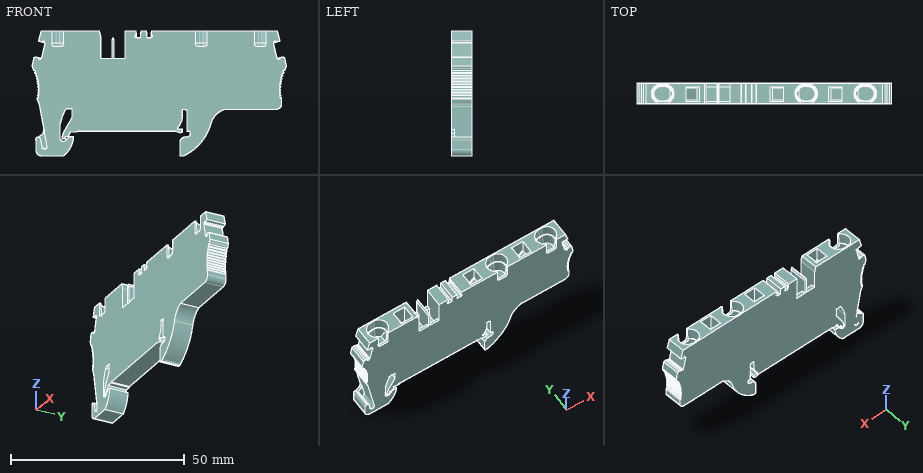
import cadquery as cq
import math

LENGTH = 73.25
WIDTH = 6.0
HEIGHT = 36.0

LIP_TOP_INSET = 2.65
LIP_BOTTOM = (1.8, 33.1)
NOTCH_TOP = (3.7, 32.5)
NOTCH_BOTTOM = (2.7, 28.1)
BUMP_INNER = (1.8, 28.35)
BUMP_CREST = (1.25, 28.6)
BUMP_OUTER = (0.5, 28.35)
TIP_Z = 25.9

GRIP_RADIUS = 13.9
GRIP_INSET = 1.7
GRIP_MID_Z = 19.05
GRIP_TOP_Z = 25.2
GRIP_BOTTOM_Z = 16.4
GROOVE_COUNT = 10
GROOVE_PITCH = 0.8
GROOVE_RADIUS = 0.3
GROOVE_TOP_Z = 24.3

RAIL_SEAT_Z = 7.1
SHELF_Z = 13.3

WIRE_ENTRY_X = (7.4, 48.7, 65.7)
WIRE_ENTRY_Y = 2.9
WIRE_ENTRY_RADIUS = 2.8
WIRE_ENTRY_FLAT = 0.95
WIRE_ENTRY_TAPER = 4.5
WIRE_STEP_DEPTH = 3.45
WIRE_STEP = 0.15
WIRE_ENTRY_DEPTH = 7.3
WIRE_FLAT_WALL = 2.1
OPENING_WIDTH = 3.4
OPENING_DEPTH = 4.5
OPENING_CORNER = 0.7

RELEASE_LENGTH = 3.9
RELEASE_FRONT_Y = 0.65
RELEASE_BACK_Y = 4.8
RELEASE_FLOOR = 0.7
RELEASE_SLOPE_START = 4.4
RELEASE_SLOPE_ANGLE = 42.0
CHANNEL_FRONT_Y = 1.1
CHANNEL_BACK_Y = 4.6
CHANNEL_DEPTH = 0.3
LEFT_RELEASE_X = 14.1
RIGHT_RELEASE_X = (38.2, 55.15)

SLOT_LEFT = 19.85
SLOT_RIGHT = 26.7
SLOT_FLOOR_Z = 28.1
SLOT_LEAD_IN = 0.45
SLOT_LEAD_IN_Z = 34.2
BLADE_LEFT = 23.0
BLADE_RIGHT = 23.65
BLADE_SHOULDER_Z = 33.3
BLADE_TIP_Z = 34.1
SLOT_POCKET_FRONT_Y = 0.7
SLOT_POCKET_BACK_Y = 4.8
SLOT_POCKET_DEPTH = 3.65

MARKER_MID_X = 32.15
MARKER_FLOOR_Z = 34.05
MARKER_BEND_Z = 35.0
MARKER_INNER_TOP = 0.8
MARKER_INNER_BOTTOM = 0.95
MARKER_OUTER_TOP = 2.2
MARKER_OUTER_BOTTOM = 2.05

SKIN = 0.4
MARKER_UNDERCUT_RADIUS = 0.45
END_UNDERCUT_RADIUS = 0.3
END_UNDERCUTS = ((3.3, 32.8), (2.2, 28.05))

WEB_THICKNESS = 0.9


def profile_plane():
    return cq.Workplane("XZ")


def prism(points, y_front, y_back):
    """Polygon in XZ, solid between two Y positions."""
    return profile_plane().workplane(offset=-y_front).polyline(points).close().extrude(y_front - y_back)


def rods(centres, radius, y_front, y_back):
    """Round bars along Y."""
    sketch = profile_plane().workplane(offset=-y_front).pushPoints(centres)
    return sketch.circle(radius).extrude(y_front - y_back)


def from_right(point):
    """Turn an (inset, height) point into its place on the right end."""
    return (LENGTH - point[0], point[1])


def grip_point(z):
    """Point (inset, height) on the concave grip arc."""
    rise = z - GRIP_MID_Z
    return (GRIP_INSET - GRIP_RADIUS + math.sqrt(GRIP_RADIUS**2 - rise**2), z)


END_UPPER = [
    (LIP_TOP_INSET, HEIGHT), LIP_BOTTOM, NOTCH_TOP, NOTCH_BOTTOM,
    BUMP_INNER, BUMP_CREST, BUMP_OUTER, (0, TIP_Z), grip_point(GRIP_TOP_Z),
]


def draw_right_end(wire):
    for point in END_UPPER:
        wire = wire.lineTo(*from_right(point))
    wire = wire.threePointArc(from_right(grip_point(GRIP_MID_Z)), from_right(grip_point(GRIP_BOTTOM_Z)))
    wire = wire.lineTo(71.85, 15.1)
    return wire.threePointArc((71.3, 13.85), (70.1, SHELF_Z))


def draw_right_foot(wire):
    wire = wire.lineTo(55.3, SHELF_Z)
    wire = wire.threePointArc((53.0, 11.95), (51.55, 9.4))
    wire = wire.threePointArc((48.9, 4.2), (44.1, 0.2))
    wire = wire.lineTo(43.6, 0).lineTo(42.9, 0)
    wire = wire.threePointArc((42.6, 0.11), (42.55, 0.4))
    wire = wire.lineTo(42.55, 4.25)
    wire = wire.threePointArc((43.15, 5.1), (44.4, 5.6))
    wire = wire.threePointArc((45.4, 6.0), (45.25, RAIL_SEAT_Z))
    wire = wire.lineTo(44.6, RAIL_SEAT_Z).lineTo(44.6, 12.9)
    wire = wire.threePointArc((44.45, 13.2), (44.1, SHELF_Z))
    wire = wire.lineTo(43.3, SHELF_Z).lineTo(43.3, 11.9)
    wire = wire.threePointArc((43.0, 9.8), (42.0, 8.1))
    wire = wire.lineTo(42.0, 7.8).lineTo(43.3, 7.8).lineTo(43.3, 6.9)
    return wire.lineTo(42.7, 6.7).lineTo(41.2, RAIL_SEAT_Z)


def draw_left_slit(wire):
    """Rail seat, then round the spring slit behind the left foot."""
    wire = wire.lineTo(13.0, RAIL_SEAT_Z).lineTo(12.9, 6.9).lineTo(11.0, 6.9)
    wire = wire.threePointArc((10.8, 6.2), (10.2, 5.6))
    wire = wire.lineTo(9.6, 5.6).lineTo(9.6, 4.9).lineTo(8.65, 4.9)
    wire = wire.threePointArc((8.8, 6.1), (9.2, 7.2))
    wire = wire.lineTo(11.5, 11.05).lineTo(11.5, 13.55).lineTo(9.95, 13.55)
    wire = wire.lineTo(9.5, 13.1)
    wire = wire.threePointArc((8.65, 11.0), (8.1, 9.15))
    wire = wire.lineTo(8.1, 4.8)
    return wire.threePointArc((9.0, 4.25), (9.7, 4.55))


def draw_left_foot(wire):
    wire = wire.lineTo(10.6, 5.6).lineTo(12.0, 5.6)
    wire = wire.threePointArc((11.1, 2.5), (9.1, 0))
    wire = wire.lineTo(2.85, 0)
    wire = wire.threePointArc((1.6, 0.5), (1.1, 1.9))
    wire = wire.lineTo(1.1, 4.6)
    wire = wire.threePointArc((1.25, 5.3), (1.75, 5.5))
    wire = wire.threePointArc((2.3, 5.1), (2.5, 4.55))
    wire = wire.lineTo(2.85, 2.8)
    wire = wire.threePointArc((3.6, 2.0), (4.3, 2.7))
    return wire.lineTo(2.2, 14.2).lineTo(2.05, 14.95)


def draw_left_end(wire):
    wire = wire.lineTo(*grip_point(GRIP_BOTTOM_Z))
    wire = wire.threePointArc(grip_point(GRIP_MID_Z), grip_point(GRIP_TOP_Z))
    for point in reversed(END_UPPER[1:-1]):
        wire = wire.lineTo(*point)
    return wire


def make_body():
    wire = profile_plane().moveTo(*END_UPPER[0])
    for draw in (draw_right_end, draw_right_foot, draw_left_slit, draw_left_foot, draw_left_end):
        wire = draw(wire)
    return wire.close().extrude(-WIDTH)


def make_grip_grooves():
    left = [grip_point(GROOVE_TOP_Z - i * GROOVE_PITCH) for i in range(GROOVE_COUNT)]
    right = [from_right(point) for point in left]
    return rods(left + right, GROOVE_RADIUS, 0, WIDTH)


def tapered_obround(x, z, radius, depth):
    """Obround plug that narrows downwards from height z."""
    sketch = cq.Workplane("XY", origin=(x, WIRE_ENTRY_Y, z))
    return sketch.slot2D(WIRE_ENTRY_FLAT + 2 * radius, 2 * radius).extrude(-depth, taper=WIRE_ENTRY_TAPER)


def make_wire_entry(x, flat_side):
    """Two-stage tapered hole; the lower stage has a flat wall on the side given by +1 or -1."""
    step_z = HEIGHT - WIRE_STEP_DEPTH
    floor_z = HEIGHT - WIRE_ENTRY_DEPTH
    step_radius = WIRE_ENTRY_RADIUS - WIRE_STEP_DEPTH * math.tan(math.radians(WIRE_ENTRY_TAPER))
    upper = tapered_obround(x, HEIGHT, WIRE_ENTRY_RADIUS, WIRE_STEP_DEPTH)
    lower = tapered_obround(x, step_z, step_radius - WIRE_STEP, WIRE_ENTRY_DEPTH - WIRE_STEP_DEPTH)
    wall_foot = x + flat_side * WIRE_FLAT_WALL
    wall_top = x + flat_side * (WIRE_ENTRY_FLAT / 2 + step_radius)
    wall = prism([(wall_foot, floor_z), (wall_top, floor_z), (wall_top, step_z)], 0, WIDTH)
    opening = (
        cq.Workplane("XY", origin=(x, WIRE_ENTRY_Y / 2, HEIGHT - OPENING_DEPTH))
        .box(OPENING_WIDTH, WIRE_ENTRY_Y, OPENING_DEPTH, centered=(True, True, False))
        .edges("|Y and <Z").fillet(OPENING_CORNER)
    )
    return upper.union(lower.cut(wall)).union(opening)


def make_release_opening(high_x, direction):
    """Opening whose floor slopes down from high_x towards the direction given by +1 or -1."""
    slope_z = HEIGHT - RELEASE_SLOPE_START
    slope_drop = (RELEASE_LENGTH - RELEASE_FLOOR) * math.tan(math.radians(RELEASE_SLOPE_ANGLE))
    floor_z = slope_z - slope_drop
    far_x = high_x + direction * RELEASE_LENGTH
    slope_end = far_x - direction * RELEASE_FLOOR
    opening = prism(
        [(high_x, HEIGHT), (high_x, slope_z), (slope_end, floor_z), (far_x, floor_z), (far_x, HEIGHT)],
        RELEASE_FRONT_Y, RELEASE_BACK_Y,
    )
    channel = prism(
        [
            (high_x, slope_z), (high_x, slope_z - CHANNEL_DEPTH),
            (slope_end, floor_z - CHANNEL_DEPTH), (slope_end, floor_z),
        ],
        CHANNEL_FRONT_Y, CHANNEL_BACK_Y,
    )
    return opening.union(channel)


def make_jumper_slot():
    slot = prism(
        [
            (SLOT_LEFT - SLOT_LEAD_IN, HEIGHT), (SLOT_LEFT, SLOT_LEAD_IN_Z), (SLOT_LEFT, SLOT_FLOOR_Z),
            (SLOT_RIGHT, SLOT_FLOOR_Z), (SLOT_RIGHT, HEIGHT),
        ],
        0, WIDTH,
    )
    pocket_z = SLOT_FLOOR_Z - SLOT_POCKET_DEPTH
    pocket = prism(
        [
            (SLOT_LEFT, SLOT_FLOOR_Z), (SLOT_LEFT, pocket_z),
            (SLOT_RIGHT, pocket_z), (SLOT_RIGHT, SLOT_FLOOR_Z),
        ],
        SLOT_POCKET_FRONT_Y, SLOT_POCKET_BACK_Y,
    )
    blade = prism(
        [
            (BLADE_LEFT, pocket_z), (BLADE_LEFT, BLADE_SHOULDER_Z),
            ((BLADE_LEFT + BLADE_RIGHT) / 2, BLADE_TIP_Z),
            (BLADE_RIGHT, BLADE_SHOULDER_Z), (BLADE_RIGHT, pocket_z),
        ],
        0, WIDTH,
    )
    return slot.union(pocket).cut(blade)


def make_marker_notch(side):
    """Notch to the left (-1) or right (+1) of the marker rib, undercut on its outer wall."""
    notch = prism(
        [
            (MARKER_MID_X + side * MARKER_INNER_TOP, HEIGHT),
            (MARKER_MID_X + side * MARKER_INNER_BOTTOM, MARKER_BEND_Z),
            (MARKER_MID_X + side * MARKER_INNER_BOTTOM, MARKER_FLOOR_Z),
            (MARKER_MID_X + side * MARKER_OUTER_BOTTOM, MARKER_FLOOR_Z),
            (MARKER_MID_X + side * MARKER_OUTER_TOP, HEIGHT),
        ],
        0, WIDTH,
    )
    undercut_centre = (MARKER_MID_X + side * MARKER_OUTER_BOTTOM, MARKER_FLOOR_Z + MARKER_UNDERCUT_RADIUS)
    return notch.union(rods([undercut_centre], MARKER_UNDERCUT_RADIUS, 0, WIDTH - SKIN))


def make_end_undercuts():
    centres = list(END_UNDERCUTS) + [from_right(point) for point in END_UNDERCUTS]
    return rods(centres, END_UNDERCUT_RADIUS, 0, WIDTH - SKIN)


def make_foot_web():
    outline = [(3.4, 7.6), (3.15, 6.45), (1.75, 5.4), (2.65, 2.65), (3.6, 1.9), (4.4, 2.65)]
    return prism(outline, WIDTH - WEB_THICKNESS, WIDTH)


result = make_body().union(make_foot_web())
result = result.cut(make_grip_grooves()).cut(make_end_undercuts())
for entry_x in WIRE_ENTRY_X:
    result = result.cut(make_wire_entry(entry_x, 1 if entry_x < LENGTH / 2 else -1))
result = result.cut(make_release_opening(LEFT_RELEASE_X, 1))
for release_x in RIGHT_RELEASE_X:
    result = result.cut(make_release_opening(release_x + RELEASE_LENGTH, -1))
result = result.cut(make_jumper_slot())
for marker_side in (-1, 1):
    result = result.cut(make_marker_notch(marker_side))